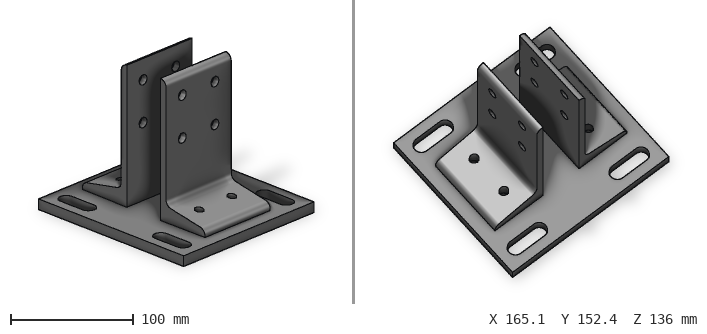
import cadquery as cq
import math

PLATE_LENGTH = 165.1
PLATE_WIDTH = 152.4
PLATE_THICKNESS = 9.5

SLOT_LENGTH = 38.5
SLOT_WIDTH = 13.5
SLOT_OFFSET_X = 53.8
SLOT_OFFSET_Y = 60.3

TOTAL_HEIGHT = 136.0
BRACKET_GAP = 38.1
BRACKET_WIDTH = PLATE_WIDTH / 2
WEB_THICKNESS = 6.5
FOOT_LENGTH = 50.7
FOOT_ROOT_HEIGHT = 15.0
FOOT_TOE_HEIGHT = 7.0
ROUND_RADIUS = WEB_THICKNESS
UNDERSIDE_TILT = 0.4

HOLE_SPACING = BRACKET_GAP
WEB_HOLE_DIAMETER = 8.9
FOOT_HOLE_DIAMETER = 8.0
FOOT_HOLE_INSET = 25.6
PLATE_HOLE_SHIFT = 0.5
WEB_HOLE_TOP_Z = 117.0

INNER_X = BRACKET_GAP / 2
WEB_OUTER_X = INNER_X + WEB_THICKNESS
TOE_X = INNER_X + FOOT_LENGTH
FOOT_HOLE_X = INNER_X + FOOT_HOLE_INSET
PLATE_HOLE_X = FOOT_HOLE_X + PLATE_HOLE_SHIFT
TOE_LIFT = FOOT_LENGTH * math.tan(math.radians(UNDERSIDE_TILT))

SIDES = (-1, 1)
HOLE_YS = (-HOLE_SPACING / 2, HOLE_SPACING / 2)
WEB_HOLE_ZS = (WEB_HOLE_TOP_Z, WEB_HOLE_TOP_Z - HOLE_SPACING)


def foot_hole_cutters(side, hole_x):
    """Two upright pins, side by side across Y, tall enough to pass the plate and the foot."""
    return (
        cq.Workplane("XY")
        .pushPoints([(side * hole_x, y) for y in HOLE_YS])
        .circle(FOOT_HOLE_DIAMETER / 2)
        .extrude(PLATE_THICKNESS + FOOT_ROOT_HEIGHT)
    )


def make_plate():
    """Rectangular plate with four corner slots and the bolt holes under both feet."""
    plate = cq.Workplane("XY").rect(PLATE_LENGTH, PLATE_WIDTH).extrude(PLATE_THICKNESS)
    slots = (
        cq.Workplane("XY")
        .rect(2 * SLOT_OFFSET_X, 2 * SLOT_OFFSET_Y, forConstruction=True)
        .vertices()
        .slot2D(SLOT_LENGTH, SLOT_WIDTH)
        .extrude(PLATE_THICKNESS)
    )
    plate = plate.cut(slots)
    for side in SIDES:
        plate = plate.cut(foot_hole_cutters(side, PLATE_HOLE_X))
    return plate


def bracket_blank(side):
    """L-section with a tapered foot, extruded across Y and rounded at web top, root and toe."""
    outline = [
        (INNER_X, PLATE_THICKNESS),
        (TOE_X, PLATE_THICKNESS + TOE_LIFT),
        (TOE_X, PLATE_THICKNESS + FOOT_TOE_HEIGHT),
        (WEB_OUTER_X, PLATE_THICKNESS + FOOT_ROOT_HEIGHT),
        (WEB_OUTER_X, TOTAL_HEIGHT - ROUND_RADIUS),
    ]
    arc_middle = (
        INNER_X + ROUND_RADIUS * math.cos(math.radians(45)),
        TOTAL_HEIGHT - ROUND_RADIUS + ROUND_RADIUS * math.sin(math.radians(45)),
    )
    profile = cq.Workplane("XZ").polyline([(side * x, z) for x, z in outline])
    profile = profile.threePointArc((side * arc_middle[0], arc_middle[1]), (side * INNER_X, TOTAL_HEIGHT))
    blank = profile.close().extrude(BRACKET_WIDTH / 2, both=True)

    root_edge = (side * WEB_OUTER_X, 0, PLATE_THICKNESS + FOOT_ROOT_HEIGHT)
    toe_edge = (side * TOE_X, 0, PLATE_THICKNESS + FOOT_TOE_HEIGHT)
    for point in (root_edge, toe_edge):
        blank = blank.edges(cq.selectors.NearestToPointSelector(point)).fillet(ROUND_RADIUS)
    return blank


def make_bracket(side):
    """One angle bracket with two foot holes and four web holes; side is -1 (at -X) or +1 (at +X)."""
    bracket = bracket_blank(side).cut(foot_hole_cutters(side, FOOT_HOLE_X))
    web_holes = (
        cq.Workplane("YZ")
        .pushPoints([(y, z) for y in HOLE_YS for z in WEB_HOLE_ZS])
        .circle(WEB_HOLE_DIAMETER / 2)
        .extrude(side * TOE_X)
    )
    return bracket.cut(web_holes)


plate = make_plate()
brackets = [make_bracket(side) for side in SIDES]

result = cq.Compound.makeCompound([plate.val(), *[bracket.val() for bracket in brackets]])